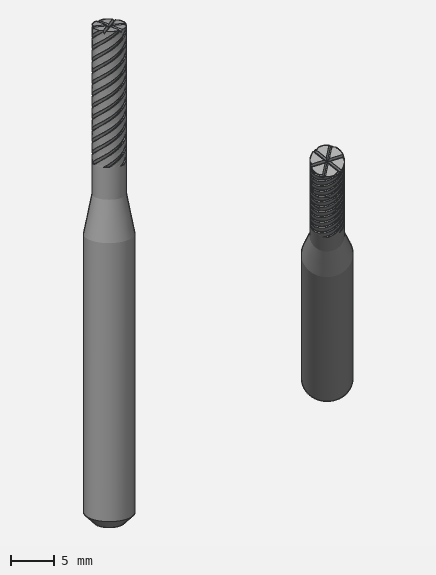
import cadquery as cq
import math

total_length = 62.0
shank_diameter = 6.0
cutter_diameter = 4.0
shank_top = 35.95
neck_bottom = 41.0
end_chamfer = 1.25

flute_count = 6
flute_length = 17.0
flute_depth = 0.2
flute_pitch = 8.7
flute_width_angle = 18.0
first_flute_angle = 22.0

gash_width = 0.4
gash_depth = 0.3

shank_radius = shank_diameter / 2
cutter_radius = cutter_diameter / 2
flute_bottom = total_length - flute_length
flute_spacing = 360.0 / flute_count


def polar_point(radius, angle):
    """Point at the given radius and angle in degrees around the tool axis."""
    return (radius * math.cos(math.radians(angle)), radius * math.sin(math.radians(angle)))


def make_body():
    """Chamfered shank, conical shoulder and cylindrical neck, revolved about Z."""
    return (
        cq.Workplane("XZ")
        .moveTo(0, 0)
        .lineTo(shank_radius - end_chamfer, 0)
        .lineTo(shank_radius, end_chamfer)
        .lineTo(shank_radius, shank_top)
        .lineTo(cutter_radius, neck_bottom)
        .lineTo(cutter_radius, flute_bottom)
        .lineTo(0, flute_bottom)
        .close()
        .revolve(360, (0, 0, 0), (0, 1, 0))
    )


def make_cutter():
    """Toothed section twisted up the axis, ending at the tip."""
    twist = 360.0 * flute_length / flute_pitch
    land_angle = flute_spacing - flute_width_angle
    root_radius = cutter_radius - flute_depth
    section = cq.Workplane("XY", origin=(0, 0, flute_bottom))
    section = section.moveTo(*polar_point(root_radius, first_flute_angle - twist))
    for index in range(flute_count):
        face_angle = first_flute_angle - twist + index * flute_spacing
        section = (
            section.lineTo(*polar_point(cutter_radius, face_angle))
            .threePointArc(
                polar_point(cutter_radius, face_angle + land_angle / 2),
                polar_point(cutter_radius, face_angle + land_angle),
            )
        )
        if index < flute_count - 1:
            section = section.lineTo(*polar_point(root_radius, face_angle + flute_spacing))
    return section.close().twistExtrude(flute_length, twist)


def make_gash(angle):
    """V-shaped slot from the tool axis out through the rim of the tip."""
    return (
        cq.Workplane("YZ")
        .moveTo(-gash_width / 2, total_length)
        .lineTo(gash_width / 2, total_length)
        .lineTo(0, total_length - gash_depth)
        .close()
        .extrude(cutter_diameter)
        .rotate((0, 0, 0), (0, 0, 1), angle)
    )


cutter = make_cutter()
for index in range(flute_count):
    gash = make_gash(first_flute_angle + index * flute_spacing)
    cutter = cutter.cut(gash, clean=False)

result = make_body().union(cutter, clean=False)